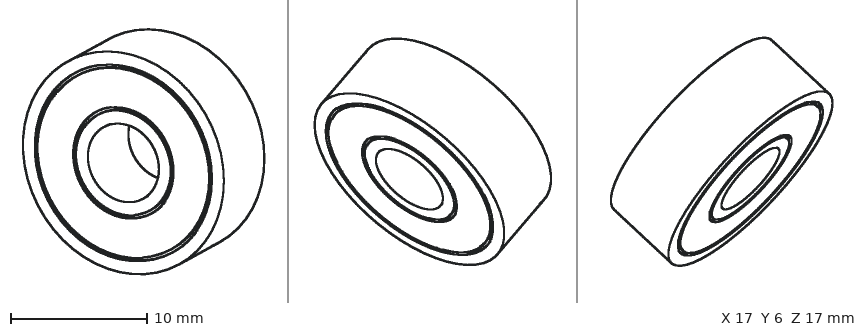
import cadquery as cq

outer_diameter = 17.0
bore_diameter = 6.0
width = 6.0

outer_groove_diameters = (14.5, 15.0)
inner_groove_diameters = (8.0, 8.5)
groove_depth = 0.25


def ring(inner_diameter, ring_outer_diameter, start_y, length):
    """Annular ring about the Y axis, from start_y towards +Y."""
    return (
        cq.Workplane("XZ", origin=(0, start_y, 0))
        .circle(ring_outer_diameter / 2)
        .circle(inner_diameter / 2)
        .extrude(-length)
    )


def cut_face_grooves(body):
    """Cut both ring grooves into both end faces."""
    for start_y in (-width / 2, width / 2 - groove_depth):
        for inner_diameter, groove_outer_diameter in (inner_groove_diameters, outer_groove_diameters):
            body = body.cut(ring(inner_diameter, groove_outer_diameter, start_y, groove_depth))
    return body


bearing_body = ring(bore_diameter, outer_diameter, -width / 2, width)
result = cut_face_grooves(bearing_body)